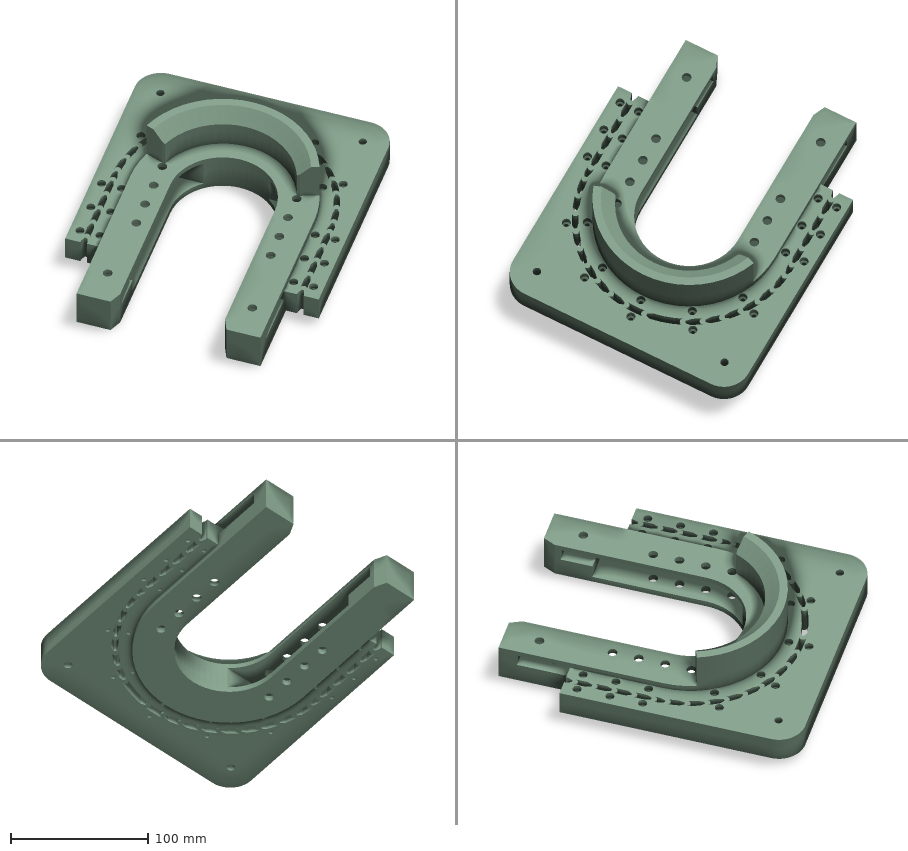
import cadquery as cq
import math

PLATE_WIDTH = 194.3
TOTAL_LENGTH = 235.0
BACK_Y = 110.0
LEG_END_Y = BACK_Y - TOTAL_LENGTH
RAIL_END_Y = -70.7
TOTAL_HEIGHT = 60.0

CARRIAGE_HEIGHT = TOTAL_HEIGHT / 2
CARRIAGE_RADIUS = 70.5
OPENING_RADIUS = 40.2
TIP_CHAMFER_X = 4.2
TIP_CHAMFER_Y = 9.5

CUP_BORE_RADIUS = 54.0
CUP_MOUTH_RADIUS = 64.5
CUP_MOUTH_DEPTH = 9.6
CUP_END_ANGLE = 20.0

LEG_HOLE_RADIUS = 3.5
LEG_HOLE_X = 51.5
LEG_HOLE_FIRST_Y = 15.7
LEG_HOLE_PITCH = 20.0
LEG_HOLE_COUNT = 4
TIP_HOLE_X = 55.5
TIP_HOLE_Y = -98.5

POCKET_ROOF_Z = CARRIAGE_HEIGHT - 4.2
POCKET_FLOOR_Z = 5.0
POCKET_SIDE_X = 61.8
POCKET_BACK_Y = 31.5
POCKET_FRONT_Y = -87.0
SLOT_HEIGHT = 9.9
SLOT_FRONT_Y = -111.2

PLATE_THICKNESS = 20.0
PLATE_Z = (CARRIAGE_HEIGHT - PLATE_THICKNESS) / 2
PLATE_TOP_Z = PLATE_Z + PLATE_THICKNESS
PLATE_CORNER_RADIUS = 20.0
PLATE_HOLE_RADIUS = 3.0
PLATE_HOLE_X = 77.5
PLATE_HOLE_Y = BACK_Y - 20.2

RAIL_RADIUS = 92.1
GAP_OUTER_RADIUS = 85.5
GAP_INNER_RADIUS = 80.5
GAP_RADIUS = (GAP_OUTER_RADIUS + GAP_INNER_RADIUS) / 2
GAP_WIDTH = GAP_OUTER_RADIUS - GAP_INNER_RADIUS
WEB_THICKNESS = 4.2
WEB_ROOT = 0.5
WEB_FLAT_WIDTH = 1.9
WEB_FLANK_LENGTH = 4.0
WEB_ANGLES = (5, 25, 35, 45, 55, 65, 75, 85)
RIGHT_WEB_ANGLE = 15
STRAIGHT_WEB_FIRST_Y = -3.0
STRAIGHT_WEB_PITCH = 15.0
STRAIGHT_WEB_COUNT = 5

TONGUE_HEIGHT = PLATE_THICKNESS / 2
TONGUE_Z = PLATE_Z + (PLATE_THICKNESS - TONGUE_HEIGHT) / 2
PLATE_TONGUE_RADIUS = 87.2
CARRIAGE_TONGUE_RADIUS = 78.7

SCREW_RADIUS = 1.6
SCREW_HEAD_RADIUS = 3.3
SCREW_HEAD_DEPTH = PLATE_TOP_Z - TONGUE_Z - TONGUE_HEIGHT
SCREW_ROW_RADII = (74.3, 89.5)
SCREW_ANGLES = (-60, -30, 0, 30, 60)
STRAIGHT_SCREW_FIRST_Y = -9.9
STRAIGHT_SCREW_PITCH = 25.0
STRAIGHT_SCREW_COUNT = 3


def arch(radius, end_y, z, height):
    """Solid with a half-round back and straight sides that run to end_y."""
    return (
        cq.Workplane("XY", origin=(0, 0, z))
        .moveTo(radius, end_y)
        .lineTo(radius, 0)
        .threePointArc((0, radius), (-radius, 0))
        .lineTo(-radius, end_y)
        .close()
        .extrude(height)
    )


def u_strip(outer_radius, inner_radius, end_y, z, height):
    return arch(outer_radius, end_y, z, height).cut(arch(inner_radius, end_y, z, height))


def cylinders(points, radius, z, height):
    return cq.Workplane("XY", origin=(0, 0, z)).pushPoints(points).circle(radius).extrude(height)


def block(x_range, y_range, z_range):
    size = [high - low for low, high in (x_range, y_range, z_range)]
    corner = (x_range[0], y_range[0], z_range[0])
    return cq.Workplane("XY").box(*size, centered=False).translate(corner)


def screw_points():
    points = []
    for radius in SCREW_ROW_RADII:
        for angle in SCREW_ANGLES:
            turn = math.radians(angle)
            points.append((radius * math.sin(turn), radius * math.cos(turn)))
        for i in range(STRAIGHT_SCREW_COUNT):
            y = STRAIGHT_SCREW_FIRST_Y - i * STRAIGHT_SCREW_PITCH
            points += [(-radius, y), (radius, y)]
    return points


def screw_holes():
    """Counterbored holes through the thickness of the plate and rail."""
    points = screw_points()
    shanks = cylinders(points, SCREW_RADIUS, PLATE_Z, PLATE_THICKNESS)
    heads = cylinders(points, SCREW_HEAD_RADIUS, PLATE_TOP_Z - SCREW_HEAD_DEPTH, SCREW_HEAD_DEPTH)
    return shanks.union(heads)


def plate_tongue():
    return u_strip(RAIL_RADIUS, PLATE_TONGUE_RADIUS, RAIL_END_Y, TONGUE_Z, TONGUE_HEIGHT)


def carriage_tongue():
    return u_strip(CARRIAGE_TONGUE_RADIUS, CARRIAGE_RADIUS, RAIL_END_Y, TONGUE_Z, TONGUE_HEIGHT)


def build_plate(screws):
    half_width = PLATE_WIDTH / 2
    plate = block((-half_width, half_width), (RAIL_END_Y, BACK_Y), (PLATE_Z, PLATE_TOP_Z))
    plate = plate.edges("|Z and >Y").fillet(PLATE_CORNER_RADIUS)
    plate = plate.cut(arch(RAIL_RADIUS, RAIL_END_Y, PLATE_Z, PLATE_THICKNESS)).union(plate_tongue())
    corner_holes = [(-PLATE_HOLE_X, PLATE_HOLE_Y), (PLATE_HOLE_X, PLATE_HOLE_Y)]
    plate = plate.cut(cylinders(corner_holes, PLATE_HOLE_RADIUS, PLATE_Z, PLATE_THICKNESS))
    return plate.cut(screws)


def web():
    """One web on the -X leg: a round crown toward +Y and two flanks that splay out to the strips."""
    half_gap = GAP_WIDTH / 2
    half_flat = WEB_FLAT_WIDTH / 2
    root = half_gap + WEB_ROOT
    crown_y = WEB_THICKNESS / 2
    spring_y = crown_y - half_gap
    flat_y = crown_y - WEB_THICKNESS
    foot_y = flat_y - WEB_FLANK_LENGTH * (root - half_flat) / (half_gap - half_flat)
    return (
        cq.Workplane("XY", origin=(0, 0, PLATE_Z))
        .moveTo(-half_gap, spring_y)
        .threePointArc((0, crown_y), (half_gap, spring_y))
        .lineTo(root, spring_y)
        .lineTo(root, foot_y)
        .lineTo(half_flat, flat_y)
        .lineTo(-half_flat, flat_y)
        .lineTo(-root, foot_y)
        .lineTo(-root, spring_y)
        .close()
        .extrude(PLATE_THICKNESS)
        .translate((-GAP_RADIUS, 0, 0))
    )


def web_on_bend(angle):
    """A web on the -X half of the bend, turned by an angle from +Y."""
    return web().rotate((0, 0, 0), (0, 0, 1), angle - 90)


def webs():
    left = [
        web().translate((0, STRAIGHT_WEB_FIRST_Y - i * STRAIGHT_WEB_PITCH, 0))
        for i in range(STRAIGHT_WEB_COUNT)
    ]
    left += [web_on_bend(angle) for angle in WEB_ANGLES]
    right = [piece.mirror("YZ") for piece in left]
    right.append(web_on_bend(RIGHT_WEB_ANGLE).mirror("YZ"))
    return left + right


def build_rail(screws):
    rail = u_strip(RAIL_RADIUS, CARRIAGE_RADIUS, RAIL_END_Y, PLATE_Z, PLATE_THICKNESS)
    rail = rail.cut(u_strip(GAP_OUTER_RADIUS, GAP_INNER_RADIUS, RAIL_END_Y, PLATE_Z, PLATE_THICKNESS))
    for piece in webs():
        rail = rail.union(piece)
    return rail.cut(plate_tongue()).cut(carriage_tongue()).cut(screws)


def cup():
    """Ring with a flared mouth, cut off radially at CUP_END_ANGLE on both sides."""
    ring = (
        cq.Workplane("XZ")
        .moveTo(CUP_BORE_RADIUS, CARRIAGE_HEIGHT)
        .lineTo(CARRIAGE_RADIUS, CARRIAGE_HEIGHT)
        .lineTo(CARRIAGE_RADIUS, TOTAL_HEIGHT)
        .lineTo(CUP_MOUTH_RADIUS, TOTAL_HEIGHT)
        .lineTo(CUP_BORE_RADIUS, TOTAL_HEIGHT - CUP_MOUTH_DEPTH)
        .close()
        .revolve(180 - 2 * CUP_END_ANGLE, (0, 0, 0), (0, 1, 0))
    )
    return ring.rotate((0, 0, 0), (0, 0, 1), CUP_END_ANGLE)


def tip_chamfers():
    """Wedges that widen the opening at the ends of the legs."""
    wedge = (
        cq.Workplane("XY")
        .moveTo(OPENING_RADIUS, LEG_END_Y)
        .lineTo(OPENING_RADIUS + TIP_CHAMFER_X, LEG_END_Y)
        .lineTo(OPENING_RADIUS, LEG_END_Y + TIP_CHAMFER_Y)
        .close()
        .extrude(CARRIAGE_HEIGHT)
    )
    return wedge.union(wedge.mirror("YZ"))


def leg_pockets():
    """A pocket open to the opening in each leg, and a shallower slot across the whole leg near its tip."""
    pocket = block(
        (0, POCKET_SIDE_X), (POCKET_FRONT_Y, POCKET_BACK_Y), (POCKET_FLOOR_Z, POCKET_ROOF_Z)
    )
    slot = block(
        (0, CARRIAGE_RADIUS), (SLOT_FRONT_Y, RAIL_END_Y), (POCKET_ROOF_Z - SLOT_HEIGHT, POCKET_ROOF_Z)
    )
    right = pocket.union(slot)
    return right.union(right.mirror("YZ"))


def leg_holes():
    """Through holes along both legs, which also clip the ends of the cup, and one hole at each tip."""
    row = [
        (side * LEG_HOLE_X, LEG_HOLE_FIRST_Y - i * LEG_HOLE_PITCH)
        for side in (-1, 1)
        for i in range(LEG_HOLE_COUNT)
    ]
    tips = [(-TIP_HOLE_X, TIP_HOLE_Y), (TIP_HOLE_X, TIP_HOLE_Y)]
    through = cylinders(row, LEG_HOLE_RADIUS, 0, TOTAL_HEIGHT)
    into_slot = cylinders(tips, LEG_HOLE_RADIUS, POCKET_ROOF_Z, CARRIAGE_HEIGHT - POCKET_ROOF_Z)
    return through.union(into_slot)


def build_carriage(screws):
    carriage = u_strip(CARRIAGE_RADIUS, OPENING_RADIUS, LEG_END_Y, 0, CARRIAGE_HEIGHT)
    carriage = carriage.union(cup()).union(carriage_tongue())
    carriage = carriage.cut(tip_chamfers()).cut(leg_pockets()).cut(leg_holes())
    return carriage.cut(screws)


screw_cutters = screw_holes()
plate = build_plate(screw_cutters)
rail = build_rail(screw_cutters)
carriage = build_carriage(screw_cutters)

result = cq.Compound.makeCompound([plate.val(), rail.val(), carriage.val()])